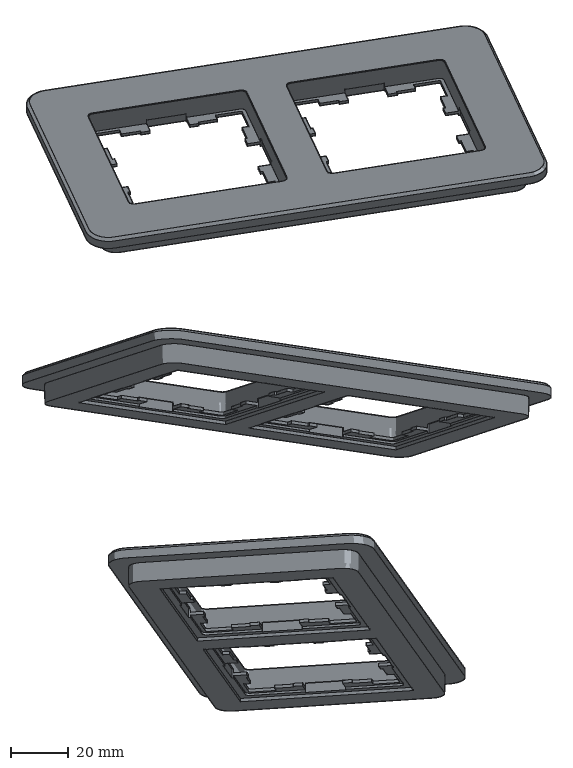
import cadquery as cq

plate_width = 94.0
opening_pitch = 71.2
plate_length = plate_width + opening_pitch
plate_thickness = 4.0
plate_corner_radius = 8.0
plate_chamfer = 1.0
total_height = 10.8

skirt_inset = 6.3
skirt_corner_radius = 5.5
skirt_width = plate_width - 2 * skirt_inset
skirt_length = plate_length - 2 * skirt_inset
skirt_draft_height = 1.8
skirt_draft_angle = 2.0

opening_size = 57.0
opening_corner_radius = 2.0
opening_chamfer = 0.25
opening_draft_inset = 0.2

ledge_top = 3.1
ledge_thickness = 1.1
ledge_opening_size = 53.4
ledge_corner_radius = 0.5
tab_inner_end = 7.1
tab_step = 10.4
tab_outer_end = 17.2
tab_reach = 24.2
tab_tip_reach = 23.38

notch_depth = 0.6
notch_top = 4.5

relief_depth = 1.2
relief_margin = 2.0

plate_bottom = total_height - plate_thickness
ledge_bottom = ledge_top - ledge_thickness
mouth_size = opening_size - 2 * opening_chamfer
mouth_radius = opening_corner_radius - opening_chamfer
seat_size = mouth_size - 2 * opening_draft_inset
seat_radius = mouth_radius - opening_draft_inset
notch_width = 2 * tab_inner_end
notch_span = seat_size + 2 * notch_depth
relief_size = notch_span + 2 * relief_margin


def plane_at(height):
    return cq.Workplane("XY").workplane(offset=height)


def rounded_rectangle(width, length, radius):
    return cq.Sketch().rect(width, length).vertices().fillet(radius)


def rounded_block(width, length, radius, bottom, top):
    """Upright block with rounded vertical edges between two heights."""
    return plane_at(bottom).placeSketch(rounded_rectangle(width, length, radius)).extrude(top - bottom)


def rounded_frustum(bottom_size, bottom_radius, bottom, top_size, top_radius, top):
    """Square block with rounded corners whose size changes evenly between two heights."""
    lower = rounded_rectangle(bottom_size, bottom_size, bottom_radius)
    upper = rounded_rectangle(top_size, top_size, top_radius)
    raised_upper = upper.moved(cq.Location(cq.Vector(0, 0, top - bottom)))
    return plane_at(bottom).placeSketch(lower, raised_upper).loft()


def make_plate():
    """Rounded plate with a chamfered front edge."""
    plate = rounded_block(plate_width, plate_length, plate_corner_radius, plate_bottom, total_height)
    return plate.faces(">Z").edges().chamfer(plate_chamfer)


def make_skirt():
    """Straight skirt whose lowest part tapers inward."""
    straight = rounded_block(
        skirt_width, skirt_length, skirt_corner_radius, skirt_draft_height, plate_bottom
    )
    outline = rounded_rectangle(skirt_width, skirt_length, skirt_corner_radius)
    foot = (
        plane_at(skirt_draft_height)
        .placeSketch(outline)
        .extrude(-skirt_draft_height, taper=skirt_draft_angle)
    )
    return straight.union(foot)


def make_opening():
    """Through opening: chamfered mouth, drafted middle, straight seat, side notches and back relief."""
    chamfer_bottom = total_height - opening_chamfer
    opening = rounded_block(mouth_size, mouth_size, mouth_radius, plate_bottom, chamfer_bottom)
    mouth_chamfer = rounded_frustum(
        mouth_size, mouth_radius, chamfer_bottom, opening_size, opening_corner_radius, total_height
    )
    drafted = rounded_frustum(seat_size, seat_radius, ledge_top, mouth_size, mouth_radius, plate_bottom)
    seat = rounded_block(seat_size, seat_size, seat_radius, 0, ledge_top)
    opening = opening.union(mouth_chamfer).union(drafted).union(seat)
    for width, length in ((notch_width, notch_span), (notch_span, notch_width)):
        opening = opening.union(plane_at(0).rect(width, length).extrude(notch_top))
    return opening.union(plane_at(0).rect(relief_size, relief_size).extrude(relief_depth))


def make_tab():
    """Tab on the +Y wall, on the +X half, with a longer tip at its inner end."""
    root = opening_size / 2
    outline = [
        (tab_inner_end, root),
        (tab_inner_end, tab_tip_reach),
        (tab_step, tab_tip_reach),
        (tab_step, tab_reach),
        (tab_outer_end, tab_reach),
        (tab_outer_end, root),
    ]
    return plane_at(ledge_bottom).polyline(outline).close().extrude(ledge_thickness)


def make_ledge():
    """Ledge and tabs of one opening; the middle of each side stays open."""
    ledge = rounded_block(opening_size, opening_size, opening_corner_radius, ledge_bottom, ledge_top)
    ledge = ledge.cut(
        rounded_block(ledge_opening_size, ledge_opening_size, ledge_corner_radius, ledge_bottom, ledge_top)
    )
    for width, length in ((notch_width, notch_span), (notch_span, notch_width)):
        ledge = ledge.cut(plane_at(ledge_bottom).rect(width, length).extrude(ledge_thickness))
    tab = make_tab()
    mirrored_tab = tab.mirror("YZ")
    for angle in (0, 90, 180, 270):
        for piece in (tab, mirrored_tab):
            ledge = ledge.union(piece.rotate((0, 0, 0), (0, 0, 1), angle))
    return ledge


result = make_plate().union(make_skirt())
opening = make_opening()
ledge = make_ledge()
for center_y in (-opening_pitch / 2, opening_pitch / 2):
    position = (0, center_y, 0)
    result = result.cut(opening.translate(position)).union(ledge.translate(position))